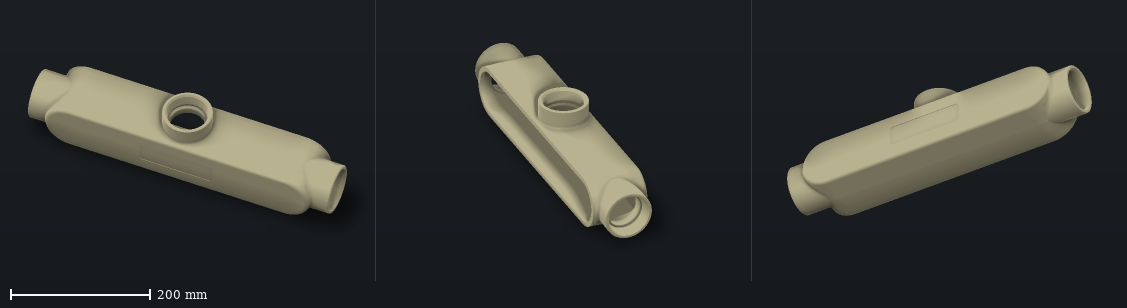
import cadquery as cq
import math

BODY_LENGTH = 412.75
BODY_HEIGHT = 79.375
BODY_DEPTH = 87.31
DRAFT_ANGLE = 1.5
FRONT_FILLET = 6.35
WALL = 7.0

OVERALL_LENGTH = 466.73
OVERALL_HEIGHT = 107.95
HUB_DIAMETER = 73.03
HUB_RIM_CHAMFER = 1.2
HUB_ROOT_FILLET = 4.76
ROOT_SEARCH_MARGIN = 1.0

MOUTH_DIAMETER = 60.33
MOUTH_CHAMFER_WIDTH = 2.0
MOUTH_CHAMFER_DEPTH = 3.2
BORE_END_DIAMETER = 56.0
BORE_DEPTH = 17.3
GROOVE_DIAMETER = 60.48
LIP_DEPTH = 23.0
LIP_LENGTH = 12.6
LIP_FILLET = 2.4
THROAT_DIAMETER = 50.9

PLATE_WIDTH = 114.0
PLATE_HEIGHT = 31.6
PLATE_CORNER_RADIUS = 5.0
PLATE_DEPTH = 0.76

HALF_DEPTH = BODY_DEPTH / 2
END_HUB_REACH = OVERALL_LENGTH / 2
TOP_HUB_REACH = OVERALL_HEIGHT - BODY_HEIGHT / 2

HUBS = [
    (cq.Vector(-1, 0, 0), END_HUB_REACH),
    (cq.Vector(1, 0, 0), END_HUB_REACH),
    (cq.Vector(0, 0, 1), TOP_HUB_REACH),
]


def drafted_slot(inset, front_depth):
    """Round-ended block, widest at y = 0, from y = -front_depth to the back face."""
    length = BODY_LENGTH - 2 * inset
    height = BODY_HEIGHT - 2 * inset
    outline = cq.Sketch().slot(length - height, height)
    front = cq.Workplane("XZ").placeSketch(outline).extrude(front_depth, taper=DRAFT_ANGLE)
    back = cq.Workplane("XZ").placeSketch(outline).extrude(HALF_DEPTH, taper=DRAFT_ANGLE)
    return front.union(back.mirror("XZ"))


def hub_cylinder(direction, reach):
    """Solid hub from the body center to its chamfered rim."""
    plane = cq.Plane(origin=(0, 0, 0), xDir=(0, 1, 0), normal=direction.toTuple())
    hub = cq.Workplane(plane).circle(HUB_DIAMETER / 2).extrude(reach)
    return hub.faces(cq.selectors.DirectionMinMaxSelector(direction)).chamfer(HUB_RIM_CHAMFER)


def hub_root(direction, reach):
    """Selector for the edges where a hub meets the body: those in a box around it."""
    half_width = HUB_DIAMETER / 2 + ROOT_SEARCH_MARGIN
    sideways = cq.Vector(1 - abs(direction.x), 1 - abs(direction.y), 1 - abs(direction.z)) * half_width
    far_end = direction * (reach - HUB_RIM_CHAMFER - ROOT_SEARCH_MARGIN)
    return cq.selectors.BoxSelector((-sideways).toTuple(), (sideways + far_end).toTuple(), boundingbox=True)


def hub_bore(direction, reach):
    """Tapered bore with a chamfered mouth, a relief groove, and a rounded lip around the throat."""
    mouth_radius = MOUTH_DIAMETER / 2
    groove_radius = GROOVE_DIAMETER / 2
    throat_radius = THROAT_DIAMETER / 2
    lip_radius = throat_radius + LIP_FILLET
    lip_top = reach - LIP_DEPTH
    lip_bottom = lip_top - LIP_LENGTH
    bore_end = reach - BORE_DEPTH
    arc_inset = LIP_FILLET * (1 - math.sqrt(0.5))
    across = cq.Vector(0, 1, 0)
    plane = cq.Plane(origin=(0, 0, 0), xDir=across.toTuple(), normal=across.cross(direction).toTuple())
    profile = (
        cq.Workplane(plane)
        .lineTo(lip_radius, 0)
        .lineTo(lip_radius, lip_bottom)
        .threePointArc(
            (throat_radius + arc_inset, lip_bottom + arc_inset),
            (throat_radius, lip_bottom + LIP_FILLET),
        )
        .lineTo(throat_radius, lip_top - LIP_FILLET)
        .threePointArc(
            (throat_radius + arc_inset, lip_top - arc_inset),
            (lip_radius, lip_top),
        )
        .lineTo(groove_radius, lip_top)
        .lineTo(groove_radius, bore_end)
        .lineTo(BORE_END_DIAMETER / 2, bore_end)
        .lineTo(mouth_radius, reach - MOUTH_CHAMFER_DEPTH)
        .lineTo(mouth_radius + MOUTH_CHAMFER_WIDTH, reach)
        .lineTo(0, reach)
        .close()
    )
    return profile.revolve(360, (0, 0, 0), (0, 1, 0))


def nameplate_recess():
    recess = cq.Workplane("XZ", origin=(0, PLATE_DEPTH - HALF_DEPTH, 0))
    recess = recess.rect(PLATE_WIDTH, PLATE_HEIGHT).extrude(PLATE_DEPTH)
    return recess.edges("|Y").fillet(PLATE_CORNER_RADIUS)


result = drafted_slot(0, HALF_DEPTH).faces("<Y").edges().fillet(FRONT_FILLET)
for direction, reach in HUBS:
    result = result.union(hub_cylinder(direction, reach))
for direction, reach in HUBS:
    result = result.edges(hub_root(direction, reach)).fillet(HUB_ROOT_FILLET)

result = result.cut(drafted_slot(WALL, HALF_DEPTH - WALL))
for direction, reach in HUBS:
    result = result.cut(hub_bore(direction, reach))
result = result.cut(nameplate_recess())